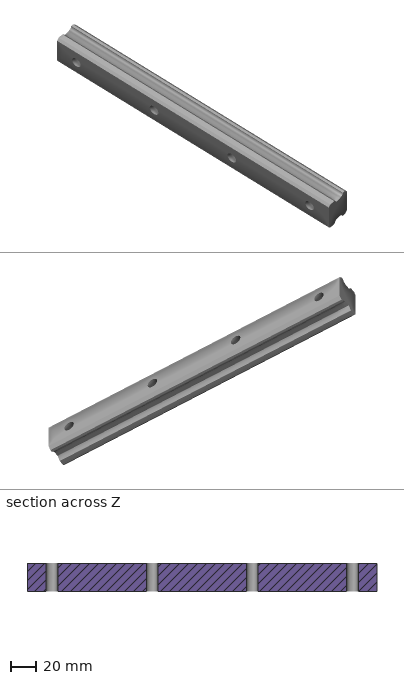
import cadquery as cq
import math

LENGTH = 280.0
DEPTH = 23.0
HEIGHT = 28.0

BACK_CHAMFER_DEPTH = 2.8
BACK_CHAMFER_HEIGHT = 2.5
FRONT_CHAMFER = 2.0

GROOVE_DEPTH = 3.5
RACEWAY_RADIUS = 2.5
GROOVE_FLOOR_WIDTH = 4.8
FRONT_FLANK_WIDTH = 3.0
GROOVE_BACK_OFFSET = 5.0

HOLE_DIAMETER = 9.0
HOLE_COUNT = 4
HOLE_PITCH = 80.0

HALF_DEPTH = DEPTH / 2
HALF_HEIGHT = HEIGHT / 2


def rail_body():
    """Extrude the upper half of the cross-section along X and mirror it about Z = 0."""
    mouth_back = HALF_DEPTH - GROOVE_BACK_OFFSET
    raceway_end = mouth_back - RACEWAY_RADIUS
    step_drop = GROOVE_DEPTH - RACEWAY_RADIUS
    floor_back = raceway_end - step_drop
    floor_front = floor_back - GROOVE_FLOOR_WIDTH
    mouth_front = floor_front - FRONT_FLANK_WIDTH
    floor_height = HALF_HEIGHT - GROOVE_DEPTH

    arc_reach = RACEWAY_RADIUS * math.sqrt(0.5)
    arc_middle = (raceway_end + arc_reach, HALF_HEIGHT - arc_reach)

    profile = (
        cq.Workplane("YZ")
        .moveTo(HALF_DEPTH, HALF_HEIGHT - BACK_CHAMFER_HEIGHT)
        .lineTo(HALF_DEPTH - BACK_CHAMFER_DEPTH, HALF_HEIGHT)
        .lineTo(mouth_back, HALF_HEIGHT)
        .threePointArc(arc_middle, (raceway_end, HALF_HEIGHT - RACEWAY_RADIUS))
        .lineTo(floor_back, floor_height)
        .lineTo(floor_front, floor_height)
        .lineTo(mouth_front, HALF_HEIGHT)
        .lineTo(FRONT_CHAMFER - HALF_DEPTH, HALF_HEIGHT)
        .lineTo(-HALF_DEPTH, HALF_HEIGHT - FRONT_CHAMFER)
        .lineTo(-HALF_DEPTH, 0)
        .lineTo(HALF_DEPTH, 0)
        .close()
    )
    upper_half = profile.extrude(LENGTH / 2, both=True)
    return upper_half.union(upper_half.mirror("XY")).clean()


def mounting_holes():
    """Row of cylinders along Y, centred on the rail."""
    return (
        cq.Workplane("XZ")
        .rarray(HOLE_PITCH, 2.8, HOLE_COUNT, 1)
        .circle(HOLE_DIAMETER / 2)
        .extrude(DEPTH, both=True)
    )


result = rail_body().cut(mounting_holes())